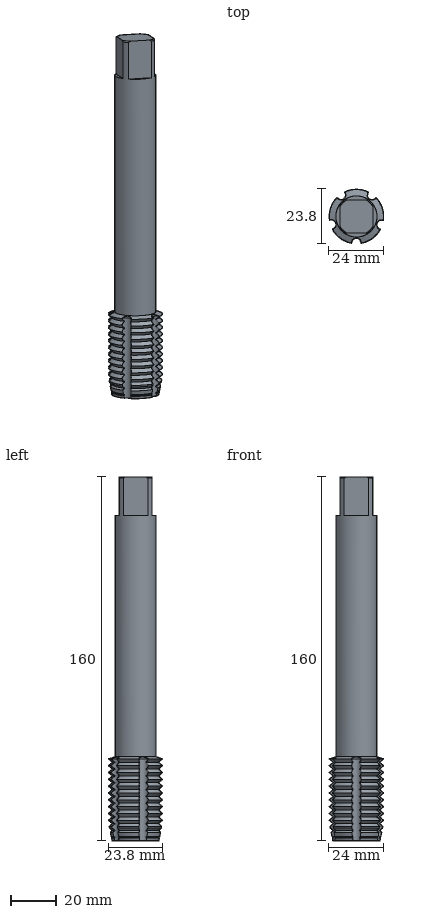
import cadquery as cq

total_length = 160.0
shank_diameter = 18.0
square_width = 14.5
square_length = 17.0
end_chamfer = 0.56

thread_diameter = 24.0
thread_pitch = thread_diameter / 8
thread_count = 12
head_length = thread_count * thread_pitch
thread_depth = 1.8
lead_length = 8.0
lead_end_radius = 10.4
collar_height = 1.0

flute_count = 5
flute_radius = 2.0
flute_center_radius = 11.7
flute_first_angle = -90.0

shank_radius = shank_diameter / 2
crest_radius = thread_diameter / 2
root_radius = crest_radius - thread_depth


def revolve_about_z(half_section):
    """Solid of revolution about Z from closed (radius, height) points."""
    return cq.Workplane("XZ").polyline(half_section).close().revolve(360, (0, 0), (0, 1))


def make_flutes():
    """Round-bottomed grooves along the head and the collar."""
    return (
        cq.Workplane("XY")
        .polarArray(flute_center_radius, flute_first_angle, 360, flute_count)
        .circle(flute_radius)
        .extrude(head_length + collar_height)
    )


def make_shank():
    """Fluted conical collar and round shank, the upper end flattened to a square."""
    outline = [
        (0, head_length),
        (crest_radius, head_length),
        (shank_radius, head_length + collar_height),
        (shank_radius, total_length - end_chamfer),
        (shank_radius - end_chamfer, total_length),
        (0, total_length),
    ]
    blank = revolve_about_z(outline)
    square_zone = (
        cq.Workplane("XY", origin=(0, 0, total_length - square_length))
        .rect(thread_diameter, thread_diameter)
        .rect(square_width, square_width)
        .extrude(square_length)
    )
    return blank.cut(square_zone).cut(make_flutes())


def thread_profile():
    """Half section (radius, height) of the head with ring-shaped threads, listed from the top down."""
    points = [(0, head_length)]
    for i in range(thread_count):
        crest = head_length - i * thread_pitch
        points += [(crest_radius, crest), (root_radius, crest - thread_pitch / 2)]
    return points + [(crest_radius, 0), (0, 0)]


def make_lead_envelope():
    """Solid of revolution that bounds the head: tapered at the cutting end, then straight."""
    outline = [
        (0, 0),
        (lead_end_radius, 0),
        (crest_radius, lead_length),
        (crest_radius, head_length),
        (0, head_length),
    ]
    return revolve_about_z(outline)


def make_head():
    threaded = revolve_about_z(thread_profile())
    return threaded.intersect(make_lead_envelope()).cut(make_flutes())


shank = make_shank()
head = make_head()

result = cq.Compound.makeCompound([shank.val(), head.val()])